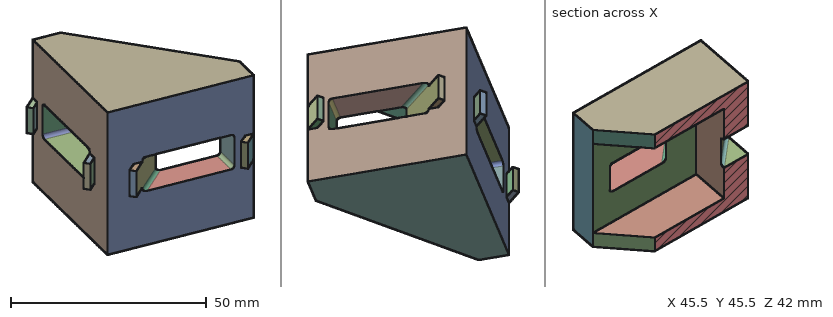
import cadquery as cq
import math

total_length = 45.55
side = 42.0
leg_thickness = 8.0
gusset_thickness = 5.0

slot_start = 5.55
slot_end = 32.0
slot_height = 10.1
slot_corner_radius = 1.0
cut_margin = 0.9

tab_thickness = 1.78
tab_height = 7.65
tab_reach = total_length - side

mid_height = side / 2


def bracket_body():
    """Triangular block, hollowed between the gussets down to the two legs."""
    block = (
        cq.Workplane("XY")
        .polyline([(0, 0), (side, 0), (side, side), (side - leg_thickness, side), (0, leg_thickness)])
        .close()
        .extrude(side)
    )
    inner_side = side - leg_thickness
    pocket = (
        cq.Workplane("XY", origin=(0, leg_thickness, gusset_thickness))
        .rect(inner_side, inner_side, centered=False)
        .extrude(side - 2 * gusset_thickness)
    )
    return block.cut(pocket)


def slot_cutter():
    """Slot through the leg along Y = 0, narrowing inward along its slanted end wall."""
    outer_y = -cut_margin
    inner_y = leg_thickness + cut_margin
    return (
        cq.Workplane("XY", origin=(0, 0, mid_height - slot_height / 2))
        .polyline([
            (slot_start, outer_y),
            (slot_end - outer_y, outer_y),
            (slot_end - inner_y, inner_y),
            (slot_start, inner_y),
        ])
        .close()
        .extrude(slot_height)
        .faces("<Z or >Z")
        .edges("not |X")
        .fillet(slot_corner_radius)
    )


def tab(start):
    """Slanted tab below the leg along Y = 0, at a distance from the leg tip."""
    step = tab_thickness * math.sqrt(0.5)
    base_width = 2 * step
    return (
        cq.Workplane("XY", origin=(0, 0, mid_height - tab_height / 2))
        .polyline([
            (start, 0),
            (start + tab_reach, -tab_reach),
            (start + tab_reach + step, step - tab_reach),
            (start + base_width, 0),
        ])
        .close()
        .extrude(tab_height)
    )


def on_other_leg(shape):
    """Mirror a shape from the leg along Y = 0 to the leg along X = side."""
    return shape.mirror("YZ").rotate((0, 0, 0), (0, 0, 1), 90).translate((side, side, 0))


result = bracket_body()

slot = slot_cutter()
result = result.cut(slot).cut(on_other_leg(slot))

for tab_start in (0, slot_end):
    leg_tab = tab(tab_start)
    result = result.union(leg_tab).union(on_other_leg(leg_tab))